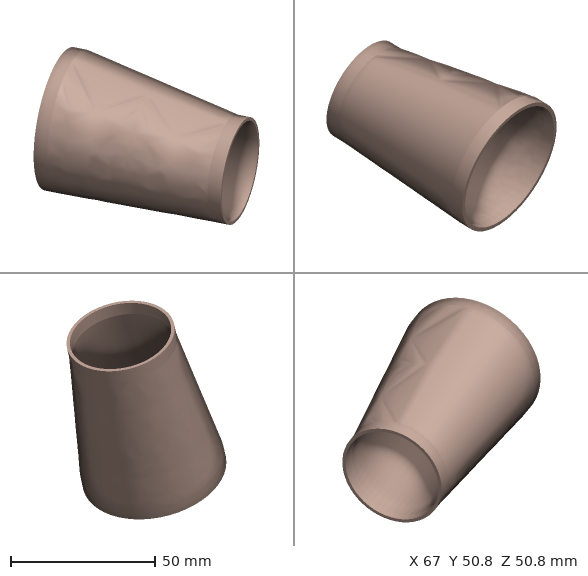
import cadquery as cq

length = 67.0
collar_length = 4.95
large_outer_diameter = 50.8
large_inner_diameter = 47.8
small_outer_diameter = 38.1
small_inner_diameter = 35.7

small_axis_z = (small_outer_diameter - large_outer_diameter) / 2
taper_length = length - 2 * collar_length


def collar(start_x, axis_z, diameter):
    """Solid cylinder along X for one straight end."""
    return (
        cq.Workplane("YZ", origin=(start_x, 0, axis_z))
        .circle(diameter / 2)
        .extrude(collar_length)
    )


def reducer_body(large_diameter, small_diameter):
    """Solid straight-taper-straight body with offset end axes."""
    taper = (
        cq.Workplane("YZ", origin=(collar_length, 0, 0))
        .circle(large_diameter / 2)
        .workplane(offset=taper_length)
        .center(0, small_axis_z)
        .circle(small_diameter / 2)
        .loft(ruled=True)
    )
    large_collar = collar(0, 0, large_diameter)
    small_collar = collar(length - collar_length, small_axis_z, small_diameter)
    return large_collar.union(taper).union(small_collar)


outside = reducer_body(large_outer_diameter, small_outer_diameter)
bore = reducer_body(large_inner_diameter, small_inner_diameter)
result = outside.cut(bore)